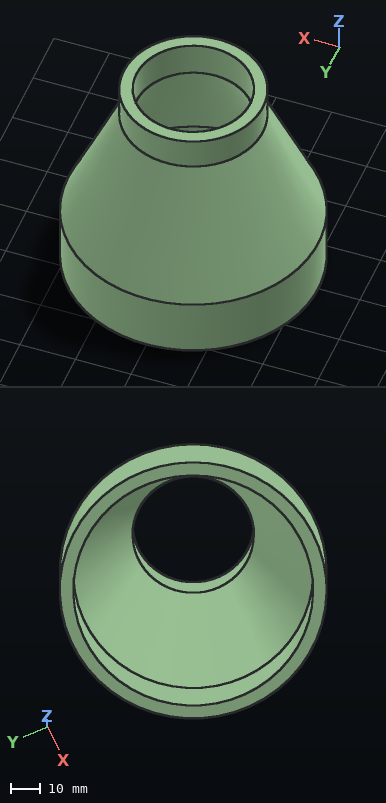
import math

import cadquery as cq

large_diameter = 90.0
small_diameter = 50.0
total_height = 80.0
large_collar_height = 22.0
small_collar_height = 12.0
wall = 4.6

large_radius = large_diameter / 2
small_radius = small_diameter / 2
cone_top = total_height - small_collar_height

cone_half_angle = math.atan2(large_radius - small_radius, cone_top - large_collar_height)
bore_corner_drop = wall * math.tan(cone_half_angle / 2)
large_bore_radius = large_radius - wall
small_bore_radius = small_radius - wall
bore_cone_bottom = large_collar_height - bore_corner_drop
bore_cone_top = cone_top - bore_corner_drop

half_section = (
    cq.Workplane("XZ")
    .moveTo(large_radius, 0)
    .lineTo(large_radius, large_collar_height)
    .lineTo(small_radius, cone_top)
    .lineTo(small_radius, total_height)
    .lineTo(small_bore_radius, total_height)
    .lineTo(small_bore_radius, bore_cone_top)
    .lineTo(large_bore_radius, bore_cone_bottom)
    .lineTo(large_bore_radius, 0)
    .close()
)

result = half_section.revolve(360, (0, 0, 0), (0, 1, 0))